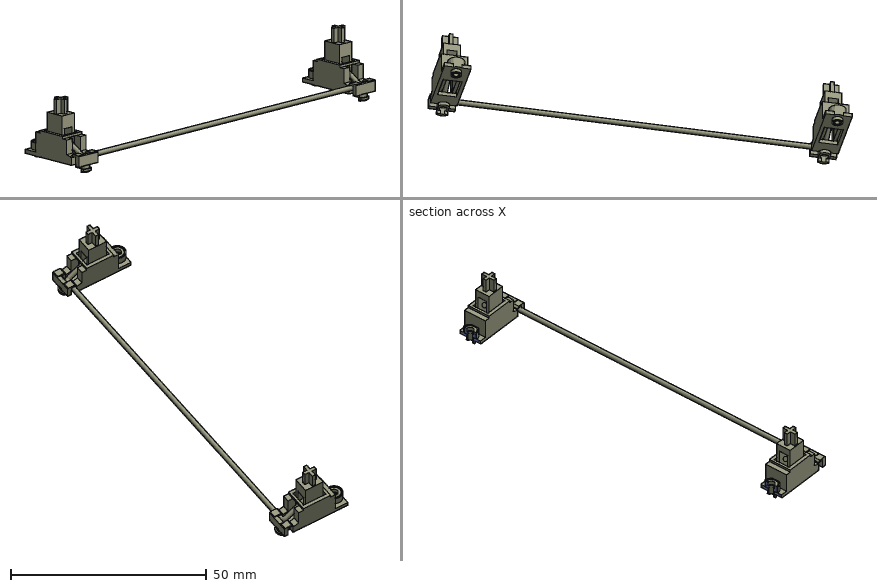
import cadquery as cq
import math

OVERALL_LENGTH = 107.0

HOUSING_WIDTH = 7.0
BODY_LENGTH = 11.3
BODY_HEIGHT = 6.4
RAISED_LENGTH = 8.3
RAISED_HEIGHT = 0.6
POCKET_LENGTH = 6.8
POCKET_WIDTH = 4.9
FLOOR_THICKNESS = 1.1
FLANGE_LEFT = -9.5

BOSS_X = -7.6
BOSS_DIAMETER = 4.5
BOSS_HEIGHT = 3.0
PIN_DIAMETER = 2.8
PIN_LENGTH = 1.0

HEAD_DIAMETER = 3.7
SHANK_DIAMETER = 2.0
SOCKET_DIAMETER = 2.0
SOCKET_DEPTH = 1.1
SCREW_BORE = 1.4
FLUTE_COUNT = 30
FLUTE_DIAMETER = 0.2

WIRE_DIAMETER = 1.4
WIRE_X = 8.1
WIRE_Z = FLOOR_THICKNESS + WIRE_DIAMETER / 2
WIRE_BEND_RADIUS = 0.9
LEG_LENGTH = 11.6
LEG_ANGLE = math.radians(30)

TONGUE_WIDTH = 2.9
RAMP_TOP = 2.6
RAMP_BOTTOM = 2.0
RAMP_END = 7.4
CLIP_WALL_INNER = 8.9
CLIP_WALL_OUTER = 10.1
CLIP_ROOF_BOTTOM = 2.5
CLIP_LIP_LEFT = 7.3
CLIP_CHAMFER = 0.2
CLIP_MIDDLE_HEIGHT = BOSS_HEIGHT - CLIP_CHAMFER
CLIP_LEAD_IN = BOSS_HEIGHT - CLIP_ROOF_BOTTOM

HOOK_X = 8.0
HOOK_DIAMETER = 3.6
HOOK_LIP_DIAMETER = 4.5
HOOK_BORE = 2.0
HOOK_LIP_HEIGHT = 0.6
HOOK_DEPTH = 1.9

STEM_LENGTH = 5.5
STEM_WIDTH = 4.5
STEM_BOTTOM = 1.1
STEM_TOP = 12.0
CROSS_TOP = 15.8
CROSS_LENGTH = 3.5
CROSS_WIDTH = 4.1
CROSS_THICKNESS = 1.0
STEM_SLOT_WIDTH = 2.7
STEM_SLOT_CEILING = 8.5
STEM_WINDOW_TOP = 10.0
STEM_CEILING_ANGLE = math.radians(35)
FOOT_LENGTH = POCKET_LENGTH
FOOT_HEIGHT = 1.1

UNIT_Y = (OVERALL_LENGTH - HOUSING_WIDTH) / 2
UNIT_POSITIONS = [-UNIT_Y, UNIT_Y]


def box_between(x0, x1, width, z0, z1):
    """A box from x0 to x1 and z0 to z1, centred on Y = 0."""
    block = cq.Workplane("XY").box(x1 - x0, width, z1 - z0, centered=(False, True, False))
    return block.translate((x0, 0, z0))


def cylinder(x, diameter, z0, z1):
    """A vertical cylinder on Y = 0."""
    return cq.Workplane("XY").circle(diameter / 2).extrude(z1 - z0).translate((x, 0, z0))


def side_profile(points, width):
    """An outline in the XZ plane, extruded to a width centred on Y = 0."""
    return cq.Workplane("XZ").polyline(points).close().extrude(width / 2, both=True)


def make_housing_body():
    """The block, its raised top, the screw flange and the ramp towards the clip."""
    half_body = BODY_LENGTH / 2
    half_raised = RAISED_LENGTH / 2
    body = box_between(-half_body, half_body, HOUSING_WIDTH, 0, BODY_HEIGHT)
    raised = box_between(-half_raised, half_raised, HOUSING_WIDTH, BODY_HEIGHT, BODY_HEIGHT + RAISED_HEIGHT)
    flange = box_between(FLANGE_LEFT, -half_body, HOUSING_WIDTH, 0, FLOOR_THICKNESS)
    ramp = side_profile(
        [(half_body, 0), (RAMP_END, 0), (RAMP_END, RAMP_BOTTOM), (half_body, RAMP_TOP)],
        HOUSING_WIDTH,
    )
    return body.union(raised).union(flange).union(ramp)


def make_clip():
    """The end wall and its roof over the wire, lower in the middle and joined on by a tongue."""
    wall_and_roof = side_profile(
        [
            (CLIP_WALL_INNER, 0),
            (CLIP_WALL_OUTER, 0),
            (CLIP_WALL_OUTER, CLIP_MIDDLE_HEIGHT),
            (CLIP_WALL_OUTER - CLIP_CHAMFER, BOSS_HEIGHT),
            (CLIP_LIP_LEFT + CLIP_LEAD_IN, BOSS_HEIGHT),
            (CLIP_LIP_LEFT, CLIP_ROOF_BOTTOM),
            (CLIP_WALL_INNER, CLIP_ROOF_BOTTOM),
        ],
        HOUSING_WIDTH,
    )
    tongue = box_between(RAMP_END, CLIP_WALL_INNER, TONGUE_WIDTH, 0, FLOOR_THICKNESS)
    above_middle = box_between(
        RAMP_END, CLIP_WALL_OUTER, TONGUE_WIDTH, CLIP_MIDDLE_HEIGHT, BOSS_HEIGHT
    )
    return wall_and_roof.cut(above_middle).union(tongue)


def make_hook():
    """The flat-sided post with a bored snap tail on its +X side."""
    lip_bottom = -PIN_LENGTH - HOOK_LIP_HEIGHT
    post = cylinder(HOOK_X, HOOK_DIAMETER, -PIN_LENGTH, 0)
    tail = cylinder(HOOK_X, HOOK_DIAMETER, -HOOK_DEPTH, -PIN_LENGTH)
    lip = cylinder(HOOK_X, HOOK_LIP_DIAMETER, lip_bottom, -PIN_LENGTH)
    tail_side = box_between(
        CLIP_WALL_INNER, HOOK_X + HOOK_LIP_DIAMETER, TONGUE_WIDTH, -HOOK_DEPTH, -PIN_LENGTH
    )
    between_flats = box_between(
        HOOK_X - HOOK_DIAMETER, HOOK_X + HOOK_DIAMETER, TONGUE_WIDTH, -PIN_LENGTH, 0
    )
    snap_tail = tail.union(lip).intersect(tail_side)
    bore = cylinder(HOOK_X, HOOK_BORE, -HOOK_DEPTH, 0)
    return post.intersect(between_flats).union(snap_tail).cut(bore)


def make_housing():
    boss = cylinder(BOSS_X, BOSS_DIAMETER, 0, BOSS_HEIGHT)
    pin = cylinder(BOSS_X, PIN_DIAMETER, -PIN_LENGTH, 0)
    screw_hole = cylinder(BOSS_X, SHANK_DIAMETER, -PIN_LENGTH, BOSS_HEIGHT)
    head_recess = cylinder(BOSS_X, HEAD_DIAMETER, FLOOR_THICKNESS, BOSS_HEIGHT)
    half_pocket = POCKET_LENGTH / 2
    stem_pocket = box_between(-half_pocket, half_pocket, POCKET_WIDTH, 0, BODY_HEIGHT + RAISED_HEIGHT)
    wire_slot = box_between(0, CLIP_WALL_INNER, TONGUE_WIDTH, FLOOR_THICKNESS, BODY_HEIGHT)
    housing = make_housing_body().union(make_clip()).union(make_hook()).union(boss).union(pin)
    return housing.cut(screw_hole).cut(head_recess).cut(stem_pocket).cut(wire_slot)


def make_screw():
    """A hollow screw with a fluted head and a round socket."""
    head = cylinder(BOSS_X, HEAD_DIAMETER, FLOOR_THICKNESS, BOSS_HEIGHT)
    flutes = (
        cq.Workplane("XY", origin=(BOSS_X, 0, FLOOR_THICKNESS))
        .polarArray(HEAD_DIAMETER / 2, 0, 360, FLUTE_COUNT)
        .circle(FLUTE_DIAMETER / 2)
        .extrude(BOSS_HEIGHT - FLOOR_THICKNESS)
    )
    shank = cylinder(BOSS_X, SHANK_DIAMETER, -PIN_LENGTH, FLOOR_THICKNESS)
    socket = cylinder(BOSS_X, SOCKET_DIAMETER, BOSS_HEIGHT - SOCKET_DEPTH, BOSS_HEIGHT)
    bore = cylinder(BOSS_X, SCREW_BORE, -PIN_LENGTH, BOSS_HEIGHT)
    return head.cut(flutes).union(shank).cut(socket).cut(bore)


def make_stem():
    """The cross and its block, forked below by a slot for the wire and footed at the ends."""
    half_length = STEM_LENGTH / 2
    half_foot = FOOT_LENGTH / 2
    half_slot = STEM_SLOT_WIDTH / 2
    block = box_between(-half_length, half_length, STEM_WIDTH, STEM_BOTTOM, STEM_TOP)
    cross_height = CROSS_TOP - STEM_TOP
    cross_base = cq.Workplane("XY", origin=(0, 0, STEM_TOP))
    arm_along_x = cross_base.rect(CROSS_LENGTH, CROSS_THICKNESS).extrude(cross_height)
    arm_along_y = cross_base.rect(CROSS_THICKNESS, CROSS_WIDTH).extrude(cross_height)
    ceiling_run = (STEM_WINDOW_TOP - STEM_SLOT_CEILING) / math.tan(STEM_CEILING_ANGLE)
    slot = side_profile(
        [
            (-half_length, STEM_BOTTOM),
            (half_foot, STEM_BOTTOM),
            (half_foot, STEM_SLOT_CEILING),
            (-half_length + ceiling_run, STEM_SLOT_CEILING),
            (-half_length, STEM_WINDOW_TOP),
        ],
        STEM_SLOT_WIDTH,
    )
    plus_x_foot = box_between(0, half_foot, STEM_WIDTH, STEM_BOTTOM, STEM_BOTTOM + FOOT_HEIGHT)
    bridge_foot = (
        cq.Workplane("XY")
        .box(half_foot - half_length, STEM_WIDTH / 2 + half_slot, FOOT_HEIGHT, centered=False)
        .translate((-half_foot, -STEM_WIDTH / 2, STEM_BOTTOM))
    )
    return block.union(arm_along_x).union(arm_along_y).union(plus_x_foot).cut(slot).union(bridge_foot)


def make_wire():
    """A straight bar along Y with a rounded bend into a rising leg at each end."""
    tilted_plane = cq.Plane(
        origin=(WIRE_X, 0, WIRE_Z),
        xDir=(-math.cos(LEG_ANGLE), 0, math.sin(LEG_ANGLE)),
        normal=(-math.sin(LEG_ANGLE), 0, -math.cos(LEG_ANGLE)),
    )
    bar_end = UNIT_Y - WIRE_BEND_RADIUS
    bend_inset = WIRE_BEND_RADIUS * (1 - math.sqrt(0.5))
    bend_y = UNIT_Y - bend_inset
    path = (
        cq.Workplane(tilted_plane)
        .moveTo(LEG_LENGTH, -UNIT_Y)
        .lineTo(WIRE_BEND_RADIUS, -UNIT_Y)
        .threePointArc((bend_inset, -bend_y), (0, -bar_end))
        .lineTo(0, bar_end)
        .threePointArc((bend_inset, bend_y), (WIRE_BEND_RADIUS, UNIT_Y))
        .lineTo(LEG_LENGTH, UNIT_Y)
    )
    leg_end_plane = cq.Plane(
        origin=tilted_plane.toWorldCoords((LEG_LENGTH, -UNIT_Y)),
        xDir=(0, 1, 0),
        normal=tilted_plane.xDir,
    )
    return cq.Workplane(leg_end_plane).circle(WIRE_DIAMETER / 2).sweep(path)


housing = make_housing()
screw = make_screw()
stem = make_stem()
wire = make_wire()

bodies = [wire.val()]
for unit_y in UNIT_POSITIONS:
    for part in (housing, screw, stem):
        bodies.append(part.translate((0, unit_y, 0)).val())

result = cq.Compound.makeCompound(bodies)